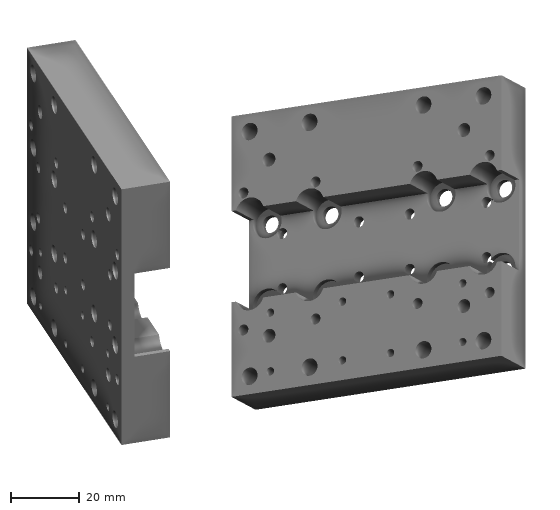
import cadquery as cq

WIDTH = 90.0
THICKNESS = 15.0
HEIGHT = 86.0

SLOT_HEIGHT = 28.0
SLOT_FLOOR = 4.0
SLOT_DEPTH = THICKNESS - SLOT_FLOOR

LARGE_DIAMETER = 5.3
LARGE_OFFSETS_X = (39.0, 19.0)
LARGE_PITCH_Z = 25.0
LARGE_ROWS = [LARGE_PITCH_Z * step for step in (-1.5, -0.5, 0.5, 1.5)]

COUNTERBORE_DIAMETER = 9.5
COUNTERBORE_FLOOR = 2.0
COUNTERBORE_DEPTH = THICKNESS - COUNTERBORE_FLOOR
COUNTERBORE_ROWS = LARGE_ROWS[1:3]

MOUNT_DIAMETER = 4.2
MOUNT_X = 32.5
MOUNT_ROWS = [28.0, -26.0]

MEDIUM_DIAMETER = 3.3
WIDE_OUTER_X = 41.0
WIDE_INNER_X = 17.0
WIDE_ROWS = [19.0, -23.0]

SLOT_OUTER_X = 34.0
SLOT_INNER_X = 8.5
SLOT_ROW_Z = 8.5
SLOT_ROWS = [SLOT_ROW_Z, -SLOT_ROW_Z]

SMALL_DIAMETER = 2.5
SMALL_OUTER_X = 32.0
SMALL_INNER_X = 8.0
SMALL_ROWS = [-19.0, -37.0]


def holes(diameter, offsets_x, rows_z, depth=THICKNESS):
    """Cylinders sunk along Y from the back face, mirrored left and right at each row."""
    points = [(side * x, z) for x in offsets_x for z in rows_z for side in (-1, 1)]
    return (
        cq.Workplane("XZ", origin=(0, THICKNESS / 2, 0))
        .pushPoints(points)
        .circle(diameter / 2)
        .extrude(depth)
    )


plate = cq.Workplane("XY").box(WIDTH, THICKNESS, HEIGHT)

slot = cq.Workplane("XY").box(WIDTH, SLOT_DEPTH, SLOT_HEIGHT).translate((0, SLOT_FLOOR / 2, 0))

result = (
    plate.cut(slot)
    .cut(holes(LARGE_DIAMETER, LARGE_OFFSETS_X, LARGE_ROWS))
    .cut(holes(COUNTERBORE_DIAMETER, LARGE_OFFSETS_X, COUNTERBORE_ROWS, COUNTERBORE_DEPTH))
    .cut(holes(MOUNT_DIAMETER, (MOUNT_X,), MOUNT_ROWS))
    .cut(holes(MEDIUM_DIAMETER, (WIDE_OUTER_X, WIDE_INNER_X), WIDE_ROWS))
    .cut(holes(MEDIUM_DIAMETER, (SLOT_OUTER_X, SLOT_INNER_X), SLOT_ROWS))
    .cut(holes(SMALL_DIAMETER, (SMALL_OUTER_X, SMALL_INNER_X), SMALL_ROWS))
)